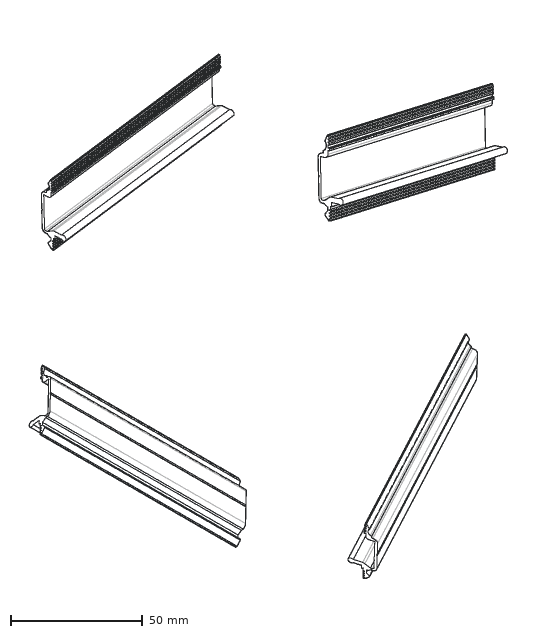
import cadquery as cq

length = 100.0
width = 12.3
height = 33.7

web_thickness = 1.2
web_lean = 0.4
web_bottom_z = 8.3
web_inner_top_z = 24.6
corner_radius = 2.0
upper_shoulder_z = 26.1
web_top_z = upper_shoulder_z - corner_radius
lower_shoulder_z = 6.4
lower_corner_end_x = 1.8
floor_z = 7.6
inner_corner_radius = 0.6

head_back_x = 5.4
neck_front_x = 4.0
neck_back_x = 4.9
crest_x = 3.3
crest_z = 31.1
head_top_x = 4.6
head_tip_back_x = 5.0
head_tip_z = 32.9
neck_hollow_z = 29.4
neck_top_z = 29.7
hollow_end = (3.0, 27.5)
ledge_x = 2.5
ledge_z = 27.2
ledge_foot_radius = ledge_x - corner_radius
barb_top_z = 28.6
barb_bottom_z = 27.6
barb_tip_x = 5.7
barb_slope = 0.3
heel_radius = 1.5

bead_radius = 1.4
bead_x = width - bead_radius
bead_z = 8.4
arm_top_z = 9.5
arm_bottom_z = 7.4
arm_root_x = 6.7
ramp_start_x = 3.0
ramp_end = (5.3, 9.1)
ramp_crown_x = 6.2
ramp_crown_radius = 2.0

foot_back_x = 6.1
foot_top_z = 5.7
ankle_x = 4.7
ankle_top_z = 5.3
ankle_bottom_z = 3.9
toe_x = 3.4
toe_top_z = 2.5
toe_bottom_z = 1.9
sole_x = 5.2
underside_x = 2.8

tooth_pitch = 1.2
notch_width = 0.7
notch_depth = 0.6
head_notches = 3
head_notch_z = 30.8
foot_notches = 4
foot_notch_z = 0.7
guide_width = 0.9
guide_depth = 0.25
guide_z = height / 2


def extrude_along_y(sketch):
    """Extrude a closed XZ profile over the full length, from Y = 0 to +Y."""
    return sketch.extrude(-length)


def v_groove(mouth_x, center_z, width, depth):
    """Triangular cutter with its mouth at mouth_x; positive depth points to +X."""
    overshoot = 0.5
    half_mouth = width / 2 * (1 + overshoot)
    outer_x = mouth_x - depth * overshoot
    profile = (
        cq.Workplane("XZ")
        .moveTo(outer_x, center_z - half_mouth)
        .lineTo(outer_x, center_z + half_mouth)
        .lineTo(mouth_x + depth, center_z)
        .close()
    )
    return extrude_along_y(profile)


def section_body():
    """Plain section, without bead and grooves, traced from the top of the upper rail."""
    profile = (
        cq.Workplane("XZ")
        .moveTo(head_tip_back_x, height)
        .lineTo(head_top_x, height)
        .lineTo(crest_x, crest_z)
        .threePointArc((neck_front_x, neck_hollow_z), hollow_end)
        .lineTo(ledge_x, ledge_z)
        .lineTo(ledge_x, upper_shoulder_z + ledge_foot_radius)
        .radiusArc((corner_radius, upper_shoulder_z), ledge_foot_radius)
        .radiusArc((0, web_top_z), -corner_radius)
        .lineTo(web_lean, web_bottom_z)
        .radiusArc((lower_corner_end_x, lower_shoulder_z), -corner_radius)
        .lineTo(underside_x, lower_shoulder_z)
        .lineTo(ankle_x, ankle_top_z)
        .lineTo(ankle_x, ankle_bottom_z)
        .lineTo(toe_x, toe_top_z)
        .lineTo(toe_x, toe_bottom_z)
        .lineTo(sole_x, 0)
        .lineTo(foot_back_x, 0)
        .lineTo(foot_back_x, foot_top_z)
        .lineTo(arm_root_x, foot_top_z)
        .lineTo(arm_root_x, arm_bottom_z)
        .lineTo(bead_x, arm_bottom_z)
        .lineTo(bead_x, arm_top_z)
        .lineTo(ramp_crown_x, arm_top_z)
        .radiusArc(ramp_end, -ramp_crown_radius)
        .lineTo(ramp_start_x, floor_z)
        .lineTo(web_lean + web_thickness + inner_corner_radius, floor_z)
        .radiusArc((web_lean + web_thickness, floor_z + inner_corner_radius), inner_corner_radius)
        .lineTo(web_thickness, web_inner_top_z)
        .lineTo(neck_back_x - heel_radius, web_inner_top_z)
        .radiusArc((neck_back_x, web_inner_top_z + heel_radius), -heel_radius)
        .lineTo(neck_back_x, barb_bottom_z)
        .lineTo(barb_tip_x, barb_bottom_z)
        .lineTo(barb_tip_x, barb_top_z - barb_slope)
        .lineTo(head_back_x, barb_top_z)
        .lineTo(neck_back_x, barb_top_z)
        .lineTo(neck_back_x, neck_top_z)
        .lineTo(head_back_x, neck_top_z)
        .lineTo(head_back_x, head_tip_z)
        .close()
    )
    return extrude_along_y(profile)


def bead():
    """Round bead along the free edge of the arm."""
    return extrude_along_y(cq.Workplane("XZ").center(bead_x, bead_z).circle(bead_radius))


def cut_notches(body, face_x, lowest_z, count):
    """Cut a row of notches into a face that looks toward +X."""
    for index in range(count):
        notch_z = lowest_z + index * tooth_pitch
        body = body.cut(v_groove(face_x, notch_z, notch_width, -notch_depth))
    return body


result = section_body().union(bead())
result = cut_notches(result, head_back_x, head_notch_z, head_notches)
result = cut_notches(result, foot_back_x, foot_notch_z, foot_notches)

guide_face_x = web_lean * (web_top_z - guide_z) / (web_top_z - web_bottom_z)
result = result.cut(v_groove(guide_face_x, guide_z, guide_width, guide_depth))